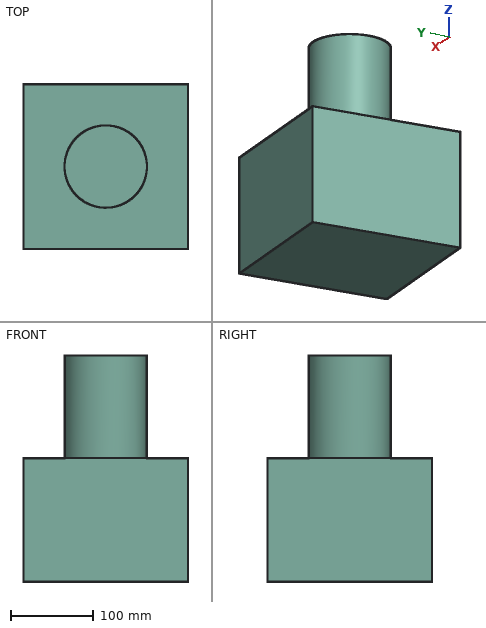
import cadquery as cq

total_height = 274.8
block_side = 200.0
block_height = 150.0
post_diameter = block_side / 2
post_height = total_height - block_height


def make_block():
    """Square block standing on the XY plane, centred on the Z axis."""
    return cq.Workplane("XY").rect(block_side, block_side).extrude(block_height)


def make_post():
    """Round post standing on the middle of the block's top face."""
    return (
        cq.Workplane("XY")
        .workplane(offset=block_height)
        .circle(post_diameter / 2)
        .extrude(post_height)
    )


block = make_block()
post = make_post()

result = cq.Compound.makeCompound([block.val(), post.val()])